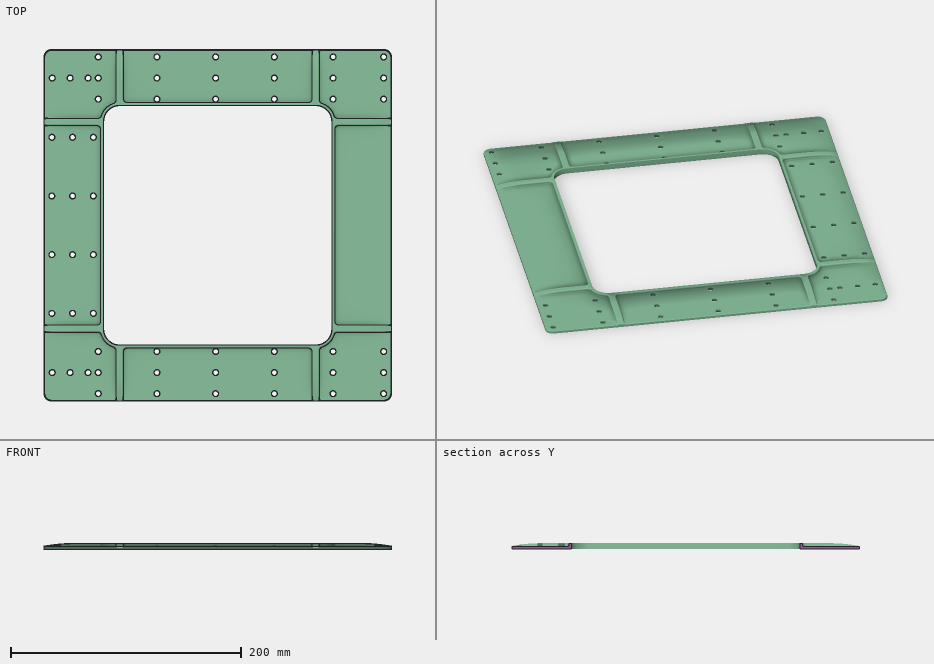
import cadquery as cq
import math

length_x = 301.5
length_y = 304.8
corner_radius = 6.7
plate_height = 2.6
plate_edge_chamfer = 0.5

opening_x = 197.8
opening_y = 207.5
opening_radius = 13.7

rib_rise = 2.5
rib_width = 6.5
rim_width = 2.7
rib_offset_x = 85.0
rib_offset_y = 89.5
rib_top_fillet = 1.2
rib_foot_fillet = 0.75
panel_corner_radius = 3.0
taper_length = 27.5
full_height = plate_height + rib_rise

hole_diameter = 5.0
hole_pitch = 51.0
row_y = 127.7
row_gap = 18.3
grid_center_x = -1.8
end_column_x = 144.0
side_column_x = -126.0
side_column_gap = 18.0
corner_row_x = -128.0
corner_row_pitch = 15.5

tolerance = 0.003


def outline(height):
    """Rounded outer rectangle standing on the underside."""
    block = cq.Workplane("XY").rect(length_x, length_y).extrude(height)
    return block.edges("|Z").fillet(corner_radius)


def opening(growth):
    """Rounded block shaped like the opening, grown outward on all sides."""
    block = cq.Workplane("XY").rect(opening_x + 2 * growth, opening_y + 2 * growth).extrude(full_height)
    return block.edges("|Z").fillet(opening_radius + growth)


def crown(plane, span, depth):
    """Slab with a flat top that curves down to plate height at both ends of its span."""
    half = span / 2
    flat_half = half - taper_length
    arc_radius = (taper_length**2 + rib_rise**2) / (2 * rib_rise)
    half_angle = math.asin(taper_length / arc_radius) / 2
    mid_x = flat_half + arc_radius * math.sin(half_angle)
    mid_z = full_height - arc_radius * (1 - math.cos(half_angle))
    profile = (
        cq.Workplane(plane)
        .moveTo(-half, 0)
        .lineTo(half, 0)
        .lineTo(half, plate_height)
        .threePointArc((mid_x, mid_z), (flat_half, full_height))
        .lineTo(-flat_half, full_height)
        .threePointArc((-mid_x, mid_z), (-half, plate_height))
        .close()
    )
    return profile.extrude(depth / 2, both=True)


def panel_blocks():
    """Blocks over the eight panels: the space between ribs and rim, running out past the outline."""
    far_x = 2 * length_x
    far_y = 2 * length_y
    field = cq.Workplane("XY").rect(far_x, far_y).extrude(full_height)
    for side in (-1, 1):
        rib_along_y = cq.Workplane("XY").center(side * rib_offset_x, 0).rect(rib_width, far_y)
        rib_along_x = cq.Workplane("XY").center(0, side * rib_offset_y).rect(far_x, rib_width)
        field = field.cut(rib_along_y.extrude(full_height))
        field = field.cut(rib_along_x.extrude(full_height))
    return field.cut(opening(rim_width)).edges("|Z").fillet(panel_corner_radius)


def is_rib_top_edge(edge):
    """True for the edges along the top of the rib walls, not for those in the outer end faces."""
    box = edge.BoundingBox()
    on_end_x = box.xlen < tolerance and abs(abs(edge.Center().x) - length_x / 2) < tolerance
    on_end_y = box.ylen < tolerance and abs(abs(edge.Center().y) - length_y / 2) < tolerance
    return box.zmin > plate_height - tolerance and not (on_end_x or on_end_y)


def rib_network():
    """Ribs and rim with rounded top edges and a rounded foot where they meet the plate."""
    slab = crown("XZ", length_x, length_y).intersect(crown("YZ", length_y, length_x))
    slab = slab.intersect(outline(full_height))
    blocks = panel_blocks()
    walls = slab.cut(blocks)
    top_edges = [edge for edge in walls.edges().vals() if is_rib_top_edge(edge)]
    walls = walls.newObject(top_edges).fillet(rib_top_fillet)
    raised_blocks = blocks.translate((0, 0, plate_height))
    rounded_blocks = raised_blocks.faces("<Z").edges().fillet(rib_foot_fillet)
    foot = raised_blocks.cut(rounded_blocks).intersect(slab)
    return walls.union(foot)


def hole_centers():
    """Hole grid of the front and back members, of the left member and of the left corners."""
    grid_columns = [grid_center_x + hole_pitch * step for step in range(-2, 3)] + [end_column_x]
    grid_rows = [side * row_y + row_gap * step for side in (-1, 1) for step in (-1, 0, 1)]
    side_columns = [side_column_x + side_column_gap * step for step in (-1, 0, 1)]
    side_rows = [hole_pitch * step for step in (-1.5, -0.5, 0.5, 1.5)]
    corner_columns = [corner_row_x + corner_row_pitch * step for step in (-1, 0, 1)]
    centers = [(x, y) for x in grid_columns for y in grid_rows]
    centers += [(x, y) for x in side_columns for y in side_rows]
    centers += [(x, y) for x in corner_columns for y in (-row_y, row_y)]
    return centers


plate = outline(plate_height).faces(">Z").chamfer(plate_edge_chamfer)
frame = plate.union(rib_network()).cut(opening(0))
holes = cq.Workplane("XY").pushPoints(hole_centers()).circle(hole_diameter / 2).extrude(full_height)
result = frame.cut(holes)